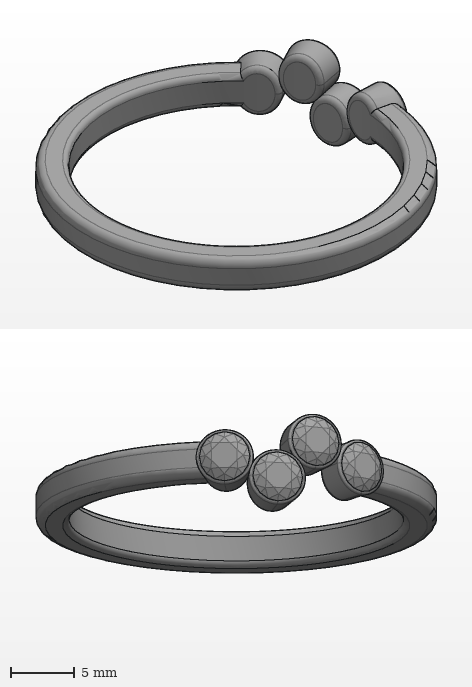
import cadquery as cq
import math


band_outer_radius = 15.86
band_bore_radius = 13.23
band_width = 3.0
band_outer_fillet = 0.75
bore_fillet = 0.5
bore_tolerance = 0.001
unbored_radius = band_bore_radius - 1.0

cup_half_height = 2.22
cup_rim_half_width = 2.3
cup_rim_height = 16.2
cup_rim_fillet = 0.2

girdle_radius = 2.0
table_radius = 1.1
star_tip_radius = 1.5
crown_height = 0.46
pavilion_depth = 1.7
culet_radius = 0.05
main_facets = 8
girdle_facets = 2 * main_facets

outer_angle = 20.5
middle_angle = 5.55
middle_offset = 3.78 - cup_half_height
outer_places = [(-outer_angle, 0), (outer_angle, 0)]
middle_places = [(-middle_angle, middle_offset), (middle_angle, -middle_offset)]
band_end_angle = outer_angle + 2.5


def place(body, angle, offset):
    """Turn a body built along +Z so that it points outward from the ring."""
    upright = body.rotate((0, 0, 0), (1, 0, 0), -90)
    return upright.rotate((0, 0, 0), (0, 0, 1), -angle).translate((0, 0, offset))


def bore_through(body):
    """Cut the finger hole."""
    bottom = -2 * band_width
    bore = cq.Workplane("XY", origin=(0, 0, bottom)).circle(band_bore_radius).extrude(-2 * bottom)
    return body.cut(bore)


def round_bore_edges(body):
    """Round every edge that lies on the finger hole, apart from lines along it."""
    sample_spots = (0, 0.3, 0.5, 0.8, 1)
    bore_edges = []
    for edge in body.edges("not |Z").vals():
        points = [edge.positionAt(spot) for spot in sample_spots]
        gaps = [abs(math.hypot(point.x, point.y) - band_bore_radius) for point in points]
        if max(gaps) < bore_tolerance:
            bore_edges.append(edge)
    return body.newObject(bore_edges).fillet(bore_fillet)


def make_band():
    """Band before boring, open in the middle of the setting; its ends lie inside the outer cups."""
    depth = band_outer_radius - unbored_radius
    section = (
        cq.Sketch()
        .push([(unbored_radius + depth / 2, 0)])
        .rect(depth, band_width)
        .reset()
        .vertices(">X")
        .fillet(band_outer_fillet)
    )
    sweep_angle = 360 - 2 * band_end_angle
    band = cq.Workplane("XZ").placeSketch(section).revolve(sweep_angle, (0, 0), (0, 1))
    return band.rotate((0, 0, 0), (0, 0, 1), 90 + band_end_angle)


def make_cup():
    """Solid cup along +Z before boring, with a rounded rim."""
    start_half_width = cup_rim_half_width * unbored_radius / cup_rim_height
    cup = (
        cq.Workplane("XY", origin=(0, 0, unbored_radius))
        .ellipse(start_half_width, cup_half_height)
        .workplane(offset=cup_rim_height - unbored_radius)
        .ellipse(cup_rim_half_width, cup_half_height)
        .loft(ruled=True)
    )
    return cup.faces(">Z").edges().fillet(cup_rim_fillet)


def facet_pyramid(sides, turn, low, high):
    """Flat-sided frustum between two (inner radius, height) pairs, turned about Z."""
    low_radius, low_height = low
    high_radius, high_height = high
    pyramid = (
        cq.Workplane("XY", origin=(0, 0, low_height))
        .polygon(sides, 2 * low_radius, circumscribed=True)
        .workplane(offset=high_height - low_height)
        .polygon(sides, 2 * high_radius, circumscribed=True)
        .loft(ruled=True)
    )
    return pyramid.rotate((0, 0, 0), (0, 0, 1), turn)


def make_stone():
    """Brilliant-cut stone along +Z, its girdle at the rim height of the cup."""
    main_turn = 180 / main_facets
    girdle_turn = 180 / girdle_facets
    main_cos = math.cos(math.radians(main_turn))
    girdle_cos = math.cos(math.radians(girdle_turn))

    main_slope = crown_height / (girdle_radius - table_radius)
    main = facet_pyramid(main_facets, main_turn, (girdle_radius, 0), (table_radius, crown_height))

    star_tip_height = main_slope * (girdle_radius - star_tip_radius * main_cos)
    table_inner_radius = table_radius * main_cos
    star_run = (star_tip_radius - table_inner_radius) / (crown_height - star_tip_height)
    star_low_radius = table_inner_radius + star_run * crown_height
    star = facet_pyramid(main_facets, 0, (star_low_radius, 0), (table_inner_radius, crown_height))

    girdle_inner_radius = girdle_radius * girdle_cos
    girdle_run = (girdle_inner_radius - star_tip_radius * girdle_cos) / star_tip_height
    girdle_high_radius = girdle_inner_radius - girdle_run * crown_height
    girdle = facet_pyramid(
        girdle_facets, girdle_turn, (girdle_inner_radius, 0), (girdle_high_radius, crown_height)
    )

    pavilion = facet_pyramid(
        girdle_facets, girdle_turn, (culet_radius, -pavilion_depth), (girdle_inner_radius, 0)
    )
    crown = main.intersect(star).intersect(girdle)
    return crown.union(pavilion).translate((0, 0, cup_rim_height))


def make_ring():
    """Band and four cups as one body, without the stone seats."""
    cup = make_cup()
    ring = make_band()
    for angle, offset in outer_places:
        ring = ring.union(place(cup, angle, offset))
    ring = round_bore_edges(bore_through(ring))
    for angle, offset in middle_places:
        middle_cup = bore_through(place(cup, angle, offset))
        ring = ring.union(round_bore_edges(middle_cup))
    return ring


stone_shape = make_stone()
stones = [place(stone_shape, angle, offset).solids() for angle, offset in outer_places + middle_places]

ring = make_ring()
for stone in stones:
    ring = ring.cut(stone)

result = cq.Compound.makeCompound([ring.solids().val(), *[stone.val() for stone in stones]])